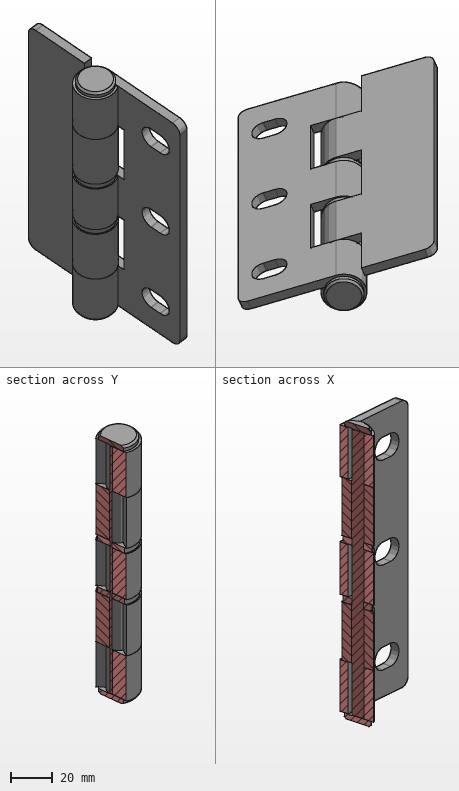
import cadquery as cq
import math

total_height = 156.0
cap_thickness = 3.0
leaf_height = total_height - 2 * cap_thickness
half_width = 100.0 / 2
leaf_thickness = 5.0
corner_radius = 4.8

knuckle_radius = 22.0 / 2
pin_radius = knuckle_radius - leaf_thickness
back_y = knuckle_radius
curl_end_angle = 32.0
edge_distance = 13.0

middle_knuckle_top = 13.9
washer_thickness = 3.3
inner_knuckle_bottom = middle_knuckle_top + washer_thickness
inner_knuckle_top = 47.7
leaf_top = leaf_height / 2

washer_radius = 10.3
cap_radius = 9.7
cap_chamfer = 1.1

slot_length = 18.0
slot_width = 12.0
slot_x = 34.0
slot_pitch = 54.9

right_knuckles = [
    (inner_knuckle_top, leaf_top),
    (-middle_knuckle_top, middle_knuckle_top),
    (-leaf_top, -inner_knuckle_top),
]
left_knuckles = [
    (inner_knuckle_bottom, inner_knuckle_top),
    (-inner_knuckle_top, -inner_knuckle_bottom),
]


def cylinder(radius, bottom, top):
    """Cylinder on the hinge axis."""
    return cq.Workplane("XY").workplane(offset=bottom).circle(radius).extrude(top - bottom)


def plate(x_start, x_end, bottom, top):
    """Flat piece of leaf, flush with the back face."""
    return cq.Workplane("XY").box(
        x_end - x_start, leaf_thickness, top - bottom, centered=False
    ).translate((x_start, back_y - leaf_thickness, bottom))


def make_curl_gap():
    """Wedge between the inner face of the plate and the radial end of the curl."""
    inner_face_y = back_y - leaf_thickness
    curl_end_x = math.sqrt(knuckle_radius**2 - inner_face_y**2)
    end_slope = math.tan(math.radians(curl_end_angle))
    return (
        cq.Workplane("XY", origin=(0, 0, -leaf_top))
        .polyline([
            (0, 0),
            (curl_end_x, curl_end_x * end_slope),
            (curl_end_x, inner_face_y),
            (0, inner_face_y),
        ])
        .close()
        .extrude(leaf_height)
    )


def make_leaf(knuckles):
    """Leaf on the +X side, with a tab and a bored knuckle for each height range."""
    leaf = plate(edge_distance, half_width, -leaf_top, leaf_top)
    leaf = leaf.edges("|Y and >X").fillet(corner_radius)
    for bottom, top in knuckles:
        leaf = leaf.union(plate(0, edge_distance, bottom, top))
        leaf = leaf.union(cylinder(knuckle_radius, bottom, top))
    leaf = leaf.cut(make_curl_gap())
    return leaf.cut(cylinder(pin_radius, -leaf_top, leaf_top))


def make_slots():
    """Three rounded slot cutters through the leaf thickness."""
    return (
        cq.Workplane("XZ", origin=(slot_x, back_y, 0))
        .rarray(1.5, slot_pitch, 1, 3)
        .slot2D(slot_length, slot_width)
        .extrude(leaf_thickness)
    )


def make_washer(bottom):
    """Spacer ring around the pin."""
    top = bottom + washer_thickness
    return cylinder(washer_radius, bottom, top).cut(cylinder(pin_radius, bottom, top))


def make_cap():
    """Chamfered disc on the upper end of the pin."""
    cap = cylinder(cap_radius, leaf_top, leaf_top + cap_thickness)
    return cap.faces(">Z").chamfer(cap_chamfer)


right_leaf = make_leaf(right_knuckles).cut(make_slots())
left_leaf = make_leaf(left_knuckles).mirror("YZ")
pin = cylinder(pin_radius, -leaf_top, leaf_top)
washers = [make_washer(bottom) for bottom in (middle_knuckle_top, -inner_knuckle_bottom)]
top_cap = make_cap()
caps = [top_cap, top_cap.mirror("XY")]

result = cq.Compound.makeCompound([
    right_leaf.val(),
    left_leaf.val(),
    pin.val(),
    *[washer.val() for washer in washers],
    *[cap.val() for cap in caps],
])